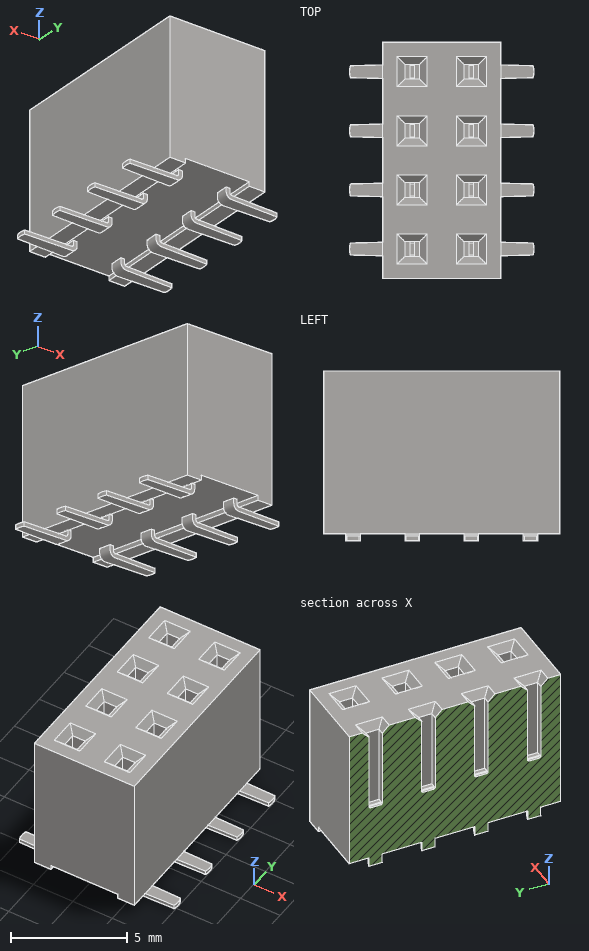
import cadquery as cq
import math

body_width = 5.08
body_length = 10.16
total_height = 7.3
standoff = 0.3
recess_width = 3.39
recess_depth = 0.22

pitch = 2.54
columns = 2
rows = 4

mouth_side = 1.29
bore_side = 0.63
funnel_depth = (mouth_side - bore_side) / 2
bore_depth = 4.06
seat_slot_width = 0.2
seat_slot_length = 0.53
seat_slot_depth = (bore_side - seat_slot_length) / 2

tail_thickness = 0.2
tail_width = 0.64
tip_width = 0.53
tip_bulge = 0.04
tail_span = 7.93
bend_inner_radius = 0.1
leg_embed = 0.2

body_height = total_height - standoff
recess_top = standoff + recess_depth
bend_outer_radius = bend_inner_radius + tail_thickness
row_places = [pitch * (i - (rows - 1) / 2) for i in range(rows)]
column_places = [pitch * (i - (columns - 1) / 2) for i in range(columns)]
sites = [(x, y) for x in column_places for y in row_places]


def make_body():
    """Rectangular housing with a recess along the middle of its underside."""
    block = (
        cq.Workplane("XY", origin=(0, 0, standoff))
        .box(body_width, body_length, body_height, centered=(True, True, False))
    )
    recess = (
        cq.Workplane("XY", origin=(0, 0, standoff))
        .box(recess_width, body_length, recess_depth, centered=(True, True, False))
    )
    return block.cut(recess)


def make_cavity():
    """Funnel mouth, square bore and a narrowing slot in the bore floor, centred on the Z axis."""
    floor_height = total_height - bore_depth
    funnel = (
        cq.Workplane("XY", origin=(0, 0, total_height))
        .rect(mouth_side, mouth_side)
        .workplane(offset=-funnel_depth)
        .rect(bore_side, bore_side)
        .loft(ruled=True)
    )
    bore = (
        cq.Workplane("XY", origin=(0, 0, floor_height))
        .rect(bore_side, bore_side)
        .extrude(bore_depth - funnel_depth)
    )
    seat_slot = (
        cq.Workplane("XY", origin=(0, 0, floor_height))
        .rect(seat_slot_width, bore_side)
        .workplane(offset=-seat_slot_depth)
        .rect(seat_slot_width, seat_slot_length)
        .loft(ruled=True)
    )
    return funnel.union(bore).union(seat_slot)


def make_tail():
    """Gull-wing tail pointing toward +X, its blade tapering from the bend to a rounded tip."""
    leg_inner = pitch / 2 - tail_thickness / 2
    leg_outer = leg_inner + tail_thickness
    bend_x = leg_inner + bend_outer_radius
    bend_z = bend_outer_radius
    leg_top = recess_top + leg_embed
    tip_x = tail_span / 2
    diagonal = math.sqrt(0.5)

    side_profile = (
        cq.Workplane("XZ")
        .moveTo(leg_inner, leg_top)
        .lineTo(leg_inner, bend_z)
        .threePointArc(
            (bend_x - bend_outer_radius * diagonal, bend_z - bend_outer_radius * diagonal),
            (bend_x, 0),
        )
        .lineTo(tip_x, 0)
        .lineTo(tip_x, tail_thickness)
        .lineTo(bend_x, tail_thickness)
        .threePointArc(
            (bend_x - bend_inner_radius * diagonal, bend_z - bend_inner_radius * diagonal),
            (leg_outer, bend_z),
        )
        .lineTo(leg_outer, leg_top)
        .close()
        .extrude(tail_width / 2, both=True)
    )
    plan_outline = (
        cq.Workplane("XY")
        .moveTo(leg_inner, -tail_width / 2)
        .lineTo(bend_x, -tail_width / 2)
        .lineTo(tip_x - tip_bulge, -tip_width / 2)
        .threePointArc((tip_x, 0), (tip_x - tip_bulge, tip_width / 2))
        .lineTo(bend_x, tail_width / 2)
        .lineTo(leg_inner, tail_width / 2)
        .close()
        .extrude(leg_top)
    )
    return side_profile.intersect(plan_outline)


result = make_body()

cavity = make_cavity()
for x, y in sites:
    result = result.cut(cavity.translate((x, y, 0)))

right_tail = make_tail()
left_tail = right_tail.mirror("YZ")
for y in row_places:
    for tail in (right_tail, left_tail):
        result = result.union(tail.translate((0, y, 0)))